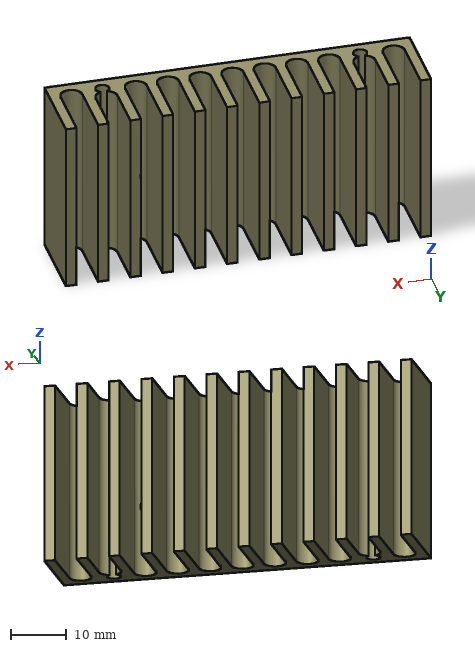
import cadquery as cq

length = 68.0
depth = 15.0
height = 33.0

slot_count = 11
fin_thickness = 2.0
pitch = (length - fin_thickness) / slot_count
slot_width = pitch - fin_thickness
slot_radius = slot_width / 2
base_thickness = 2.0

screw_slots = (1, 9)
screw_slot_floor = 4.0
channel_diameter = 2.5
channel_center_y = 3.0

hole_slot = 8
hole_diameter = 2.5
hole_height = 13.0


def slot_center(index):
    return fin_thickness + slot_radius + index * pitch


def slot_cutter(index, floor):
    """Round-bottomed slot, open at the fin tips and running the full height."""
    center = slot_center(index)
    left = center - slot_radius
    right = center + slot_radius
    arc_start = floor + slot_radius
    return (
        cq.Workplane("XY")
        .moveTo(left, depth)
        .lineTo(left, arc_start)
        .threePointArc((center, floor), (right, arc_start))
        .lineTo(right, depth)
        .close()
        .extrude(height)
    )


def channel_cutter(index):
    """Round screw channel below a shallow slot."""
    return (
        cq.Workplane("XY")
        .center(slot_center(index), channel_center_y)
        .circle(channel_diameter / 2)
        .extrude(height)
    )


def mounting_hole_cutter():
    """Hole from the flat face through the base into its slot."""
    return (
        cq.Workplane("XZ")
        .center(slot_center(hole_slot), hole_height)
        .circle(hole_diameter / 2)
        .extrude(-depth)
    )


result = cq.Workplane("XY").box(length, depth, height, centered=False)
for slot in range(slot_count):
    if slot in screw_slots:
        result = result.cut(slot_cutter(slot, screw_slot_floor))
        result = result.cut(channel_cutter(slot))
    else:
        result = result.cut(slot_cutter(slot, base_thickness))
result = result.cut(mounting_hole_cutter())